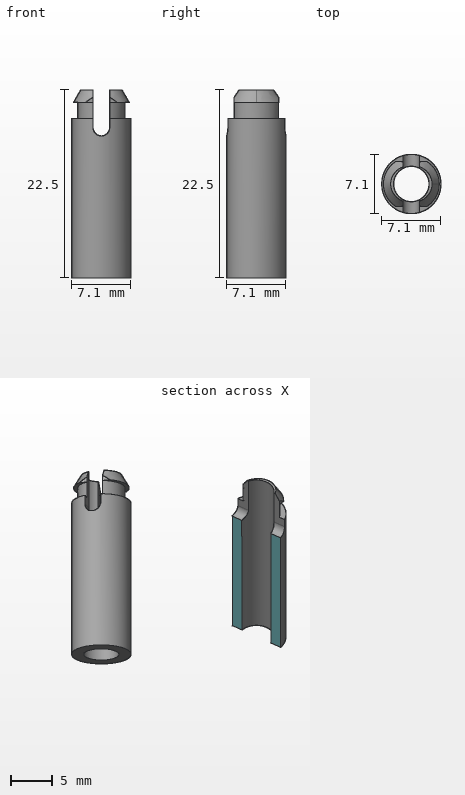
import cadquery as cq

total_height = 22.5
body_diameter = 7.1
bore_diameter = 4.2

shoulder_height = 19.08
head_base_height = 21.0
neck_diameter = 5.67
head_base_length = 6.68
head_base_width = 6.48
head_top_length = 4.95
head_top_width = 4.5
head_flat_width = 5.35

slot_width = 1.95
slot_bottom_height = 17.0


def make_body():
    body = cq.Workplane("XY").circle(body_diameter / 2).extrude(shoulder_height)
    neck = (
        cq.Workplane("XY")
        .workplane(offset=shoulder_height)
        .circle(neck_diameter / 2)
        .extrude(head_base_height - shoulder_height)
    )
    return body.union(neck)


def make_head():
    """Tapered head, slightly oval and longer along X, trimmed by two flats facing +Y and -Y."""
    taper = (
        cq.Workplane("XY")
        .workplane(offset=head_base_height)
        .ellipse(head_base_length / 2, head_base_width / 2)
        .workplane(offset=total_height - head_base_height)
        .ellipse(head_top_length / 2, head_top_width / 2)
        .loft(ruled=True)
    )
    flats = cq.Workplane("XY").box(
        body_diameter, head_flat_width, total_height, centered=(True, True, False)
    )
    return taper.intersect(flats)


def make_bore():
    return cq.Workplane("XY").circle(bore_diameter / 2).extrude(total_height)


def make_slot():
    slot_radius = slot_width / 2
    arc_center_height = slot_bottom_height + slot_radius
    return (
        cq.Workplane("XZ")
        .moveTo(-slot_radius, total_height)
        .lineTo(-slot_radius, arc_center_height)
        .threePointArc((0, slot_bottom_height), (slot_radius, arc_center_height))
        .lineTo(slot_radius, total_height)
        .close()
        .extrude(body_diameter / 2, both=True)
    )


result = make_body().union(make_head()).cut(make_bore()).cut(make_slot())